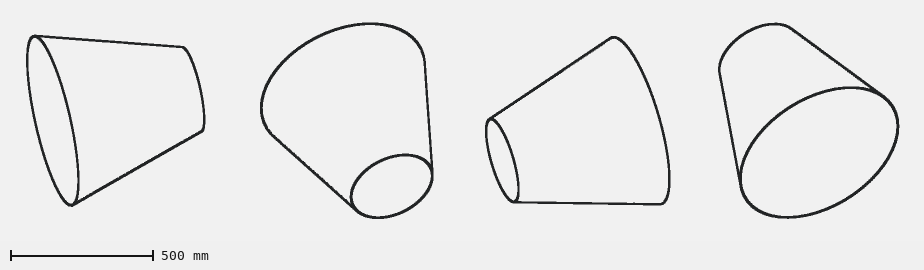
import cadquery as cq
import math

wide_diameter = 609.5
narrow_diameter = wide_diameter / 2
length = 508.0
wall = 3.0

wide_radius = wide_diameter / 2
narrow_radius = narrow_diameter / 2

slope_angle = math.atan2(wide_radius - narrow_radius, length)
radial_wall = wall / math.cos(slope_angle)

wall_section = (
    cq.Workplane("XY")
    .moveTo(wide_radius - radial_wall, 0)
    .lineTo(wide_radius, 0)
    .lineTo(narrow_radius, length)
    .lineTo(narrow_radius - radial_wall, length)
    .close()
)

result = wall_section.revolve(360, (0, 0, 0), (0, 1, 0))